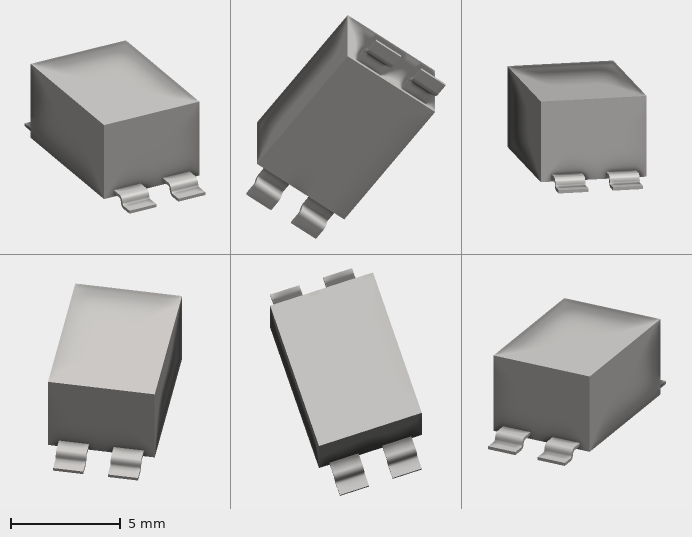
import cadquery as cq
import math


overall_length = 10.01
housing_length = 7.01
housing_width = 4.95
overall_height = 3.99
standoff = 0.2

marker_diameter = 0.35
marker_depth = 0.1
marker_inset = 1.45

lead_pitch = 2.54
lead_width = 1.40
lead_thickness = 0.15
lead_rise = 0.39
foot_length = 0.55
inner_bend_radius = 0.125
bend_angle = math.radians(75)

housing_height = overall_height - standoff
outer_bend_radius = inner_bend_radius + lead_thickness
marker_x = -housing_length / 2 + marker_inset
marker_y = lead_pitch / 2

bend_rise = (inner_bend_radius + outer_bend_radius) * (1 - math.cos(bend_angle))
slope_length = (lead_rise - bend_rise) / math.sin(bend_angle)


def make_marker():
    return (
        cq.Workplane("XY", origin=(marker_x, marker_y, overall_height - marker_depth))
        .circle(marker_diameter / 2)
        .extrude(marker_depth)
    )


def make_housing():
    block = cq.Workplane("XY", origin=(0, 0, standoff)).box(
        housing_length, housing_width, housing_height, centered=(True, True, False)
    )
    return block.cut(make_marker())


def arc_point(center, radius, angle):
    """Point on a circle in the XZ plane; the angle is measured from straight down toward +X."""
    return (center[0] + radius * math.sin(angle), center[1] - radius * math.cos(angle))


def make_lead():
    """Lead on the -X side, centred on Y = 0, running from the foot tip to the housing wall."""
    tip_x = -overall_length / 2
    wall_x = -housing_length / 2
    shoulder_top = lead_rise + lead_thickness

    lower_center = (tip_x + foot_length, outer_bend_radius)
    bend_reach = (inner_bend_radius + outer_bend_radius) * math.sin(bend_angle)
    bend_run = bend_reach + slope_length * math.cos(bend_angle)
    upper_center = (lower_center[0] + bend_run, shoulder_top - outer_bend_radius)

    half_bend = bend_angle / 2
    upper_mid = math.pi + half_bend
    upper_end = math.pi + bend_angle

    profile = (
        cq.Workplane("XZ")
        .moveTo(tip_x, 0)
        .lineTo(lower_center[0], 0)
        .threePointArc(
            arc_point(lower_center, outer_bend_radius, half_bend),
            arc_point(lower_center, outer_bend_radius, bend_angle),
        )
        .lineTo(*arc_point(upper_center, inner_bend_radius, upper_end))
        .threePointArc(
            arc_point(upper_center, inner_bend_radius, upper_mid),
            arc_point(upper_center, inner_bend_radius, math.pi),
        )
        .lineTo(wall_x, lead_rise)
        .lineTo(wall_x, shoulder_top)
        .lineTo(upper_center[0], shoulder_top)
        .threePointArc(
            arc_point(upper_center, outer_bend_radius, upper_mid),
            arc_point(upper_center, outer_bend_radius, upper_end),
        )
        .lineTo(*arc_point(lower_center, inner_bend_radius, bend_angle))
        .threePointArc(
            arc_point(lower_center, inner_bend_radius, half_bend),
            arc_point(lower_center, inner_bend_radius, 0),
        )
        .lineTo(tip_x, lead_thickness)
        .close()
    )
    return profile.extrude(lead_width / 2, both=True)


housing = make_housing()
marker = make_marker()

leads = []
for turn in (0, 180):
    for lead_y in (-lead_pitch / 2, lead_pitch / 2):
        lead = make_lead().rotate((0, 0, 0), (0, 0, 1), turn)
        leads.append(lead.translate((0, lead_y, 0)).val())

result = cq.Compound.makeCompound([housing.val(), marker.val(), *leads])